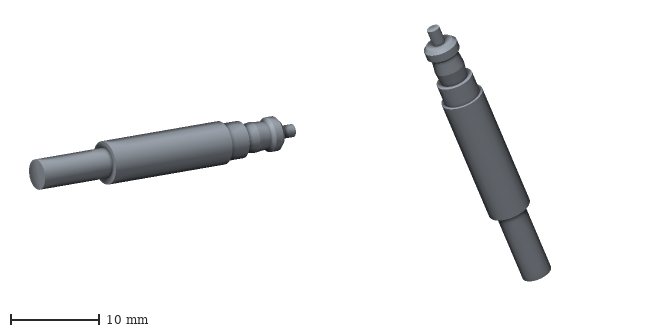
import cadquery as cq

pin_diameter = 1.5
head_diameter = 4.0
neck_diameter = 3.2
bulge_diameter = 3.55
collar_diameter = 4.3
body_diameter = 5.0
tail_diameter = 3.5

overall_length = 34.0
body_start = 9.0
body_end = 24.5
collar_end = 27.0
neck_end = 30.25

head_length = 1.75
head_chamfer = (head_diameter - neck_diameter) / 2
head_end = neck_end + head_length

bulge_station = (collar_end + neck_end) / 2


def revolved_pin():
    """Revolve the stepped half outline about the Y axis, from tail to tip."""
    outline = (
        cq.Workplane("XY")
        .moveTo(0, 0)
        .lineTo(tail_diameter / 2, 0)
        .lineTo(tail_diameter / 2, body_start)
        .lineTo(body_diameter / 2, body_start)
        .lineTo(body_diameter / 2, body_end)
        .lineTo(collar_diameter / 2, body_end)
        .lineTo(collar_diameter / 2, collar_end)
        .lineTo(neck_diameter / 2, collar_end)
        .lineTo(bulge_diameter / 2, bulge_station)
        .lineTo(neck_diameter / 2, neck_end)
        .lineTo(head_diameter / 2, neck_end + head_chamfer)
        .lineTo(head_diameter / 2, head_end - head_chamfer)
        .lineTo(neck_diameter / 2, head_end)
        .lineTo(pin_diameter / 2, head_end)
        .lineTo(pin_diameter / 2, overall_length)
        .lineTo(0, overall_length)
        .close()
    )
    return outline.revolve(360, (0, 0, 0), (0, 1, 0))


result = revolved_pin()